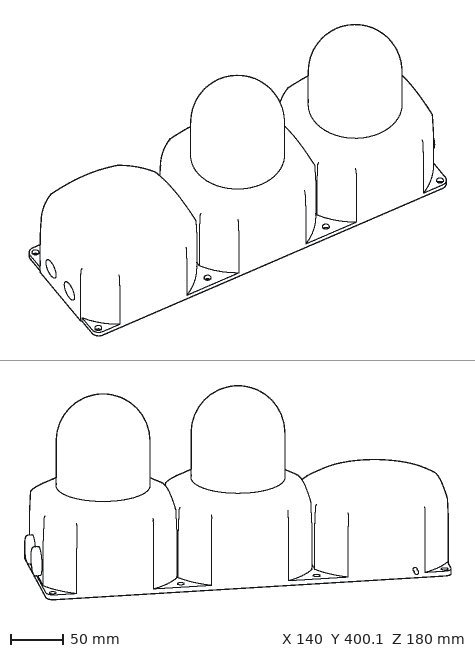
import cadquery as cq
import math

unit_width = 130.0
corner_diameter = 150.0
seam_height = 50.5
cover_draft = 2.5
roof_slope = 30.0
rim_fillet = 3.0
top_fillet = 4.0

first_gap = 1.2
second_gap = 2.8
pitch_1 = unit_width + first_gap
pitch_2 = unit_width + second_gap
lamp_ys = (pitch_1, 0.0)
box_y = -pitch_2

lamp_shelf_height = 89.4
lamp_shelf_diameter = 100.0
dome_diameter = 90.0
total_height = 180.0

box_top_height = 78.2
box_top_diameter = 120.0

plate_thickness = 5.0
plate_corner_radius = 7.5
plate_end_setback = 1.0
plate_end_margin = 1.1
plate_y_max = pitch_1 + unit_width / 2 + plate_end_margin
plate_y_min = box_y - unit_width / 2 + plate_end_setback
end_hole_inset = 6.5
mounting_hole_diameter = 6.5
gap_hole_x = 55.0

entry_x = 17.0
entry_height = 23.0
entry_diameter = 19.0
entry_depth = 12.0
entry_tip_angle = 118.0
plug_diameter = 28.0
plug_length = 5.0
plug_base_y = plate_y_max - plate_end_margin
plug_fillet = 2.0

pin_diameter = 4.0
pin_length = 10.0
pin_height = 8.7
pin_offset_y = -27.5
pin_fillet = 1.0



def rounded_square(height, draft):
    """Square block whose corners are cut round by a circle about the unit axis."""
    square = cq.Workplane("XY").rect(unit_width, unit_width).extrude(height, taper=draft)
    disc = cq.Workplane("XY").circle(corner_diameter / 2).extrude(height, taper=draft)
    return square.intersect(disc)


def housing(top_height, top_diameter):
    """Straight lower body with a drafted cover under a conical roof."""
    cover_height = top_height - seam_height
    roof_radius = top_diameter / 2 + cover_height / math.tan(math.radians(roof_slope))
    roof_cone = cq.Workplane("XY").circle(roof_radius).extrude(cover_height, taper=90 - roof_slope)
    cover = rounded_square(cover_height, cover_draft).intersect(roof_cone)

    reach = corner_diameter
    rim_floor = 0.55 * cover_height
    rim_ceiling = 0.99 * cover_height
    rim = cq.selectors.BoxSelector((-reach, -reach, rim_floor), (reach, reach, rim_ceiling))
    cover = cover.edges(rim).fillet(rim_fillet)
    cover = cover.faces(">Z").edges().fillet(top_fillet)
    return rounded_square(seam_height, 0).union(cover.translate((0, 0, seam_height)))


def lamp_unit():
    """Housing carrying a cylindrical lens with a hemispherical end."""
    dome_radius = dome_diameter / 2
    dome_base = total_height - dome_radius
    lens = (
        cq.Workplane("XZ")
        .moveTo(0, lamp_shelf_height)
        .lineTo(dome_radius, lamp_shelf_height)
        .lineTo(dome_radius, dome_base)
        .radiusArc((0, total_height), -dome_radius)
        .close()
        .revolve(360, (0, 0, 0), (0, 1, 0))
    )
    return housing(lamp_shelf_height, lamp_shelf_diameter).union(lens)


def base_plate():
    length = plate_y_max - plate_y_min
    middle = (plate_y_max + plate_y_min) / 2
    plate = cq.Workplane("XY").rect(unit_width, length).extrude(plate_thickness)
    plate = plate.edges("|Z").fillet(plate_corner_radius)
    return plate.translate((0, middle, 0))


def mounting_holes():
    end_x = unit_width / 2 - end_hole_inset
    rows = (
        (end_x, plate_y_max - end_hole_inset),
        (gap_hole_x, pitch_1 / 2),
        (gap_hole_x, -pitch_2 / 2),
        (end_x, plate_y_min + end_hole_inset),
    )
    points = [(side * x, y) for x, y in rows for side in (-1, 1)]
    return cq.Workplane("XY").pushPoints(points).circle(mounting_hole_diameter / 2).extrude(plate_thickness)


def cable_entry():
    """Blind drilled hole with a conical tip, turned about Z and then laid along +Y."""
    radius = entry_diameter / 2
    tip = radius / math.tan(math.radians(entry_tip_angle / 2))
    drill = (
        cq.Workplane("XZ")
        .polyline([(0, 0), (radius, 0), (radius, entry_depth), (0, entry_depth + tip)])
        .close()
        .revolve(360, (0, 0, 0), (0, 1, 0))
    )
    return drill.rotate((0, 0, 0), (1, 0, 0), -90)


def plug():
    plug_reach = plug_length + plate_end_margin
    disc = cq.Workplane("XZ").circle(plug_diameter / 2).extrude(-plug_reach)
    return disc.faces(">Y").edges().fillet(plug_fillet)


def earth_pin():
    pin = cq.Workplane("YZ").circle(pin_diameter / 2).extrude(-pin_length)
    pin = pin.faces("<X").edges().fillet(pin_fillet)
    return pin.translate((-unit_width / 2, box_y + pin_offset_y, pin_height))


result = base_plate()
for lamp_y in lamp_ys:
    result = result.union(lamp_unit().translate((0, lamp_y, 0)))
result = result.union(housing(box_top_height, box_top_diameter).translate((0, box_y, 0)))
result = result.cut(mounting_holes())

for side in (-1, 1):
    result = result.cut(cable_entry().translate((side * entry_x, box_y - unit_width / 2, entry_height)))
    result = result.union(plug().translate((side * entry_x, plug_base_y, entry_height)))

result = result.union(earth_pin())